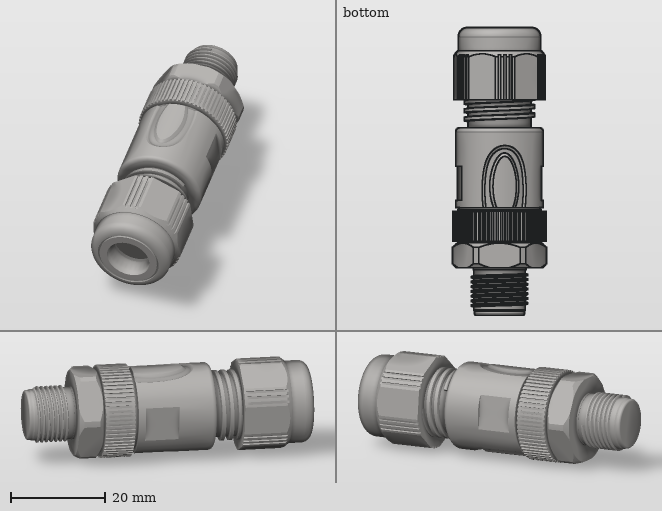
import cadquery as cq
import math


body_turn = 7
hex_sides = 6
half_hex_step = 180 / hex_sides

dome_diameter = 17.55
dome_r = dome_diameter / 2
dome_fillet = 2.0
nut_shoulder_y = 5.0
nut_shoulder_r = 8.9
nut_chamfer_y = 6.25
nut_end_y = 15.4
nut_r = 9.9
nut_across_flats = 18.8
rib_grooves_per_corner = 3
rib_groove_pitch = 7
rib_groove_width = 0.55
rib_groove_depth = 0.35

seal_gap_outer_r = dome_r - dome_fillet
seal_gap_inner_r = 6.35
seal_gap_depth = 0.5
entry_r = 4.7
lead_in_r = 4.6
lead_in_depth = 0.9
throat_r = 4.15
throat_start = 3.35
throat_end = 3.65
cavity_r = 4.6
entry_depth = 4.9

gland_core_r = 6.7
gland_crest_r = 7.5
gland_pitch = 1.8
gland_turns = 2.9
gland_start_y = 15.0
gland_root_width = 1.05
gland_crest_width = 0.75

body_start_y = 21.25
body_end_y = 38.25
body_diameter = 18.65
body_r = body_diameter / 2
body_fillet = 0.9
flat_offset = 8.55
flat_start_y = 29.5
flat_length = 7.2
flat_width = 7.45

badge_depth = 0.5
recess_center_y = 34.6
recess_rim = (4.7, 9.5)
recess_foot = (4.1, 8.85)
plate_center_y = 33.7
plate_foot = (3.1, 7.1)
plate_rim = (2.5, 6.35)
badge_tool_low_z = 7.35
badge_tool_high_z = 9.5

collar_rear_r = 8.5
collar_ridge_r = 8.85
collar_ridge_y = 38.7
collar_front_r = 8.55

knurl_start_y = 39.05
knurl_end_y = 45.4
knurl_r = 9.9
knurl_depth = 0.35
knurl_teeth = 64
ring_neck_r = 7.15

hex_start_y = 45.65
hex_end_y = 51.0
hex_across_flats = 17.9
hex_across_corners = 20.0
hex_front_chamfer_length = 0.9
hex_front_chamfer_depth = 0.85
hex_rear_chamfer_length = 1.05
hex_rear_chamfer_depth = 1.15

plug_r = 5.5
plug_base_flange_r = 5.6
plug_base_flange_length = 0.35
tip_y = 61.1
tip_r = 5.3
tip_edge_fillet = 0.4
tip_shoulder_start_y = 59.9
tip_shoulder_end_y = 60.25
plug_crest_r = 6.0
plug_thread_start_y = 52.5
plug_thread_length = 6.8
plug_turns = 6.75
plug_root_width = 0.75
plug_crest_width = 0.25

thread_overlap = 0.2


def turned(points):
    """Solid of revolution about Y from (radius, y) outline points."""
    return cq.Workplane("XY").polyline(points).close().revolve(360, (0, 0), (0, 1))


def disc(radius, start_y, end_y):
    return cq.Workplane("XZ", origin=(0, start_y, 0)).circle(radius).extrude(start_y - end_y)


def hexagon(across_flats, start_y, end_y):
    """Hexagonal prism along Y with two corners on the X axis."""
    corner_diameter = across_flats / math.cos(math.pi / hex_sides)
    outline = cq.Workplane("XZ", origin=(0, start_y, 0)).polygon(hex_sides, corner_diameter)
    return outline.extrude(start_y - end_y)


def about_axis(shape, angle):
    """Turn about the part axis, from +X towards +Z for positive angles."""
    return shape.rotate((0, 0, 0), (0, 1, 0), -angle)


def thread(core_r, crest_r, root_width, crest_width, pitch, turns, start_y):
    """Right-hand trapezoidal ridge starting on the +X side at start_y."""
    root_r = core_r - thread_overlap
    helix = cq.Wire.makeHelix(pitch, pitch * turns, root_r)
    ridge = (
        cq.Workplane("XZ")
        .moveTo(root_r, -root_width / 2)
        .lineTo(crest_r, -crest_width / 2)
        .lineTo(crest_r, crest_width / 2)
        .lineTo(root_r, root_width / 2)
        .close()
        .sweep(cq.Workplane(obj=helix), isFrenet=True)
    )
    ridge = ridge.rotate((0, 0, 0), (1, 0, 0), -90)
    return ridge.translate((0, start_y, 0))


def gland_nut():
    dome = disc(dome_r, 0, nut_shoulder_y).faces("<Y").edges().fillet(dome_fillet)
    envelope = turned([
        (0, nut_shoulder_y),
        (nut_shoulder_r, nut_shoulder_y),
        (nut_r, nut_chamfer_y),
        (nut_r, nut_end_y),
        (0, nut_end_y),
    ])
    flats = about_axis(hexagon(nut_across_flats, nut_shoulder_y, nut_end_y), half_hex_step)
    grip = envelope.intersect(flats)
    return dome.union(grip)


def gland_nut_grooves():
    groove_length = nut_end_y - nut_shoulder_y
    groove = cq.Workplane("XY").box(2 * rib_groove_depth, groove_length, rib_groove_width)
    groove = groove.translate((nut_r, nut_shoulder_y + groove_length / 2, 0))
    grooves = []
    for corner in range(hex_sides):
        for index in range(rib_grooves_per_corner):
            offset = (index - (rib_grooves_per_corner - 1) / 2) * rib_groove_pitch
            grooves.append(about_axis(groove, (2 * corner + 1) * half_hex_step + offset).val())
    return cq.Workplane(obj=cq.Compound.makeCompound(grooves))


def cable_entry():
    bore = turned([
        (0, 0),
        (entry_r, 0),
        (lead_in_r, lead_in_depth),
        (throat_r, throat_start),
        (throat_r, throat_end),
        (cavity_r, throat_end),
        (cavity_r, entry_depth),
        (0, entry_depth),
    ])
    gap = disc(seal_gap_outer_r, 0, seal_gap_depth).cut(disc(seal_gap_inner_r, 0, seal_gap_depth))
    return bore.union(gap)


def badge_prism(center_y, foot, rim):
    """Sloping oval prism along Z, crossing recess floor at foot size and housing surface at rim size."""
    floor_r = body_r - badge_depth
    foot_heights = (math.sqrt(floor_r**2 - foot[0] ** 2), floor_r)
    rim_heights = (math.sqrt(body_r**2 - rim[0] ** 2), body_r)

    def half_size(axis, z):
        slope = (rim[axis] - foot[axis]) / (rim_heights[axis] - foot_heights[axis])
        return foot[axis] + slope * (z - foot_heights[axis])

    return (
        cq.Workplane("XY", origin=(0, center_y, badge_tool_low_z))
        .ellipse(half_size(0, badge_tool_low_z), half_size(1, badge_tool_low_z))
        .workplane(offset=badge_tool_high_z - badge_tool_low_z)
        .ellipse(half_size(0, badge_tool_high_z), half_size(1, badge_tool_high_z))
        .loft(ruled=True)
    )


def badge_recess():
    recess = badge_prism(recess_center_y, recess_foot, recess_rim)
    plate = badge_prism(plate_center_y, plate_foot, plate_rim)
    floor = disc(body_r - badge_depth, body_start_y, body_end_y)
    return recess.cut(plate).cut(floor)


def housing():
    body = disc(body_r, body_start_y, body_end_y).faces("<Y").edges().fillet(body_fillet)
    flat_depth = body_r - flat_offset
    flat = cq.Workplane("XY").box(2 * flat_depth, flat_length, flat_width)
    flat = flat.translate((body_r, flat_start_y + flat_length / 2, 0))
    recess = badge_recess()
    for angle in (0, 180):
        body = body.cut(about_axis(flat, angle)).cut(about_axis(recess, angle))
    return body


def knurled_ring():
    quarter_tooth = math.pi / (2 * knurl_teeth)
    corner_radii = (knurl_r, knurl_r, knurl_r - knurl_depth, knurl_r - knurl_depth)
    corner_angles = (-quarter_tooth, quarter_tooth, quarter_tooth, 3 * quarter_tooth)
    outline = []
    for tooth in range(knurl_teeth):
        for radius, corner_angle in zip(corner_radii, corner_angles):
            angle = 4 * quarter_tooth * tooth + corner_angle
            outline.append((radius * math.cos(angle), radius * math.sin(angle)))
    ring = cq.Workplane("XZ", origin=(0, knurl_start_y, 0)).polyline(outline).close()
    return ring.extrude(knurl_start_y - knurl_end_y)


def collar():
    return turned([
        (0, body_end_y),
        (collar_rear_r, body_end_y),
        (collar_ridge_r, collar_ridge_y),
        (collar_front_r, knurl_start_y),
        (0, knurl_start_y),
    ])


def hexagon_section():
    blunt = about_axis(hexagon(hex_across_corners, hex_start_y, hex_end_y), half_hex_step)
    blunt = blunt.intersect(hexagon(hex_across_flats, hex_start_y, hex_end_y))
    full_r = hex_across_corners / 2
    envelope = turned([
        (0, hex_start_y),
        (full_r - hex_rear_chamfer_depth, hex_start_y),
        (full_r, hex_start_y + hex_rear_chamfer_length),
        (full_r, hex_end_y - hex_front_chamfer_length),
        (full_r - hex_front_chamfer_depth, hex_end_y),
        (0, hex_end_y),
    ])
    return blunt.intersect(envelope)


def plug():
    flange_end_y = hex_end_y + plug_base_flange_length
    barrel = turned([
        (0, hex_end_y),
        (plug_base_flange_r, hex_end_y),
        (plug_base_flange_r, flange_end_y),
        (plug_r, flange_end_y),
        (plug_r, tip_shoulder_start_y),
        (tip_r, tip_shoulder_end_y),
        (tip_r, tip_y),
        (0, tip_y),
    ])
    return barrel.faces(">Y").edges().fillet(tip_edge_fillet)


gland_core = disc(gland_core_r, nut_end_y, body_start_y)
gland_thread = thread(
    gland_core_r, gland_crest_r, gland_root_width, gland_crest_width,
    gland_pitch, gland_turns, gland_start_y,
)
plug_thread = thread(
    plug_r, plug_crest_r, plug_root_width, plug_crest_width,
    plug_thread_length / plug_turns, plug_turns, plug_thread_start_y,
)
nut = gland_nut().cut(gland_nut_grooves()).cut(cable_entry())

result = (
    about_axis(nut, body_turn)
    .union(gland_core.union(gland_thread))
    .union(about_axis(housing(), body_turn))
    .union(collar())
    .union(knurled_ring())
    .union(disc(ring_neck_r, knurl_end_y, hex_start_y))
    .union(hexagon_section())
    .union(plug().union(plug_thread))
)